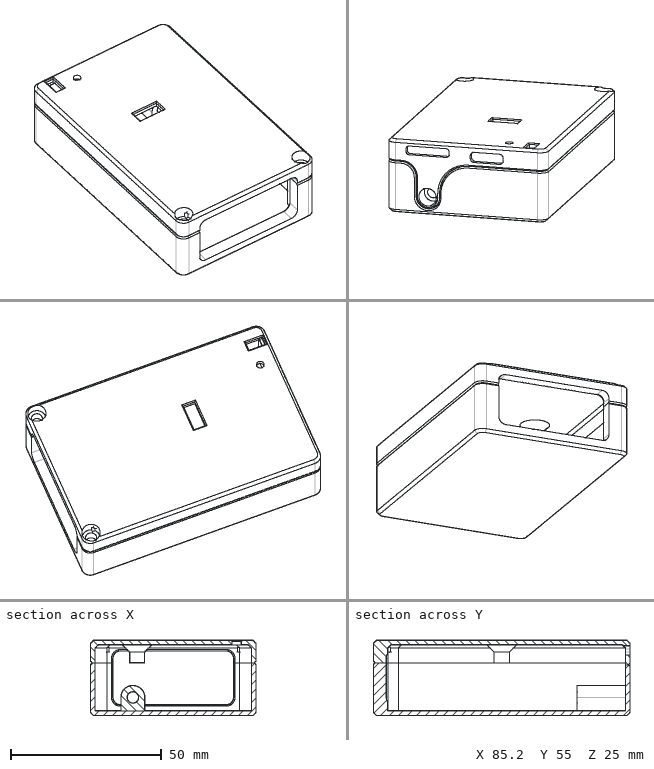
import cadquery as cq
import math

QUARTER_ARC_SAG = 1 - math.sqrt(0.5)

LENGTH = 85.2
WIDTH = 55.0
HEIGHT = 25.0
CORNER_RADIUS = 3.0
RIM_CHAMFER = 1.0
LEFT = -LENGTH / 2
RIGHT = LENGTH / 2

SEAM_Z = 17.5
SEAM_CHAMFER = 0.5
CORNER_ARC_GAP = CORNER_RADIUS * QUARTER_ARC_SAG
TOLERANCE = 1e-3

WALL = 1.6
RIGHT_WALL = 4.8
CEILING_CHAMFER = 1.0
CEILING_Z = HEIGHT - WALL
CAVITY_LEFT = LEFT + WALL
CAVITY_RIGHT = RIGHT - RIGHT_WALL
CAVITY_WIDTH = WIDTH - 2 * WALL

CORNER_BLOCK_LENGTH = 3.5
CORNER_BLOCK_WIDTH = 5.5

SCREW_DIAMETER = 3.7
SCREW_HEAD_DIAMETER = 6.0
CORNER_SCREW_INSET = 3.5
CORNER_HEAD_DEPTH = 4.0
CORNER_SCREW_BOTTOM = 6.0
TONGUE_SCREW_Y = 13.4
TONGUE_SCREW_Z = 6.0
TONGUE_HEAD_DEPTH = 6.5

TONGUE_RADIUS = 4.0
TONGUE_CLEARANCE = 0.1
TONGUE_BLEND_SHORT = 5.0
TONGUE_BLEND_LONG = 10.0

BOSS_LENGTH = 16.0

STUB_X = 0.0
STUB_Y = 12.0
STUB_DIAMETER = 5.0
STUB_FLARE = 2.4
STUB_BOTTOM_Z = SEAM_Z

CARD_SLOT = dict(y=13.4, z=21.6, length=14.8, height=3.0, radius=1.0)
PORT_SLOT = dict(y=-7.0, z=20.8, length=11.4, height=3.5, radius=1.4)
WINDOW_CHAMFER = 0.4
SCREEN_WINDOW = dict(x=-9.05, y=-3.65, length=4.1, width=9.5)
SWITCH_WINDOW = dict(x=-37.95, y=-21.05, length=5.9, width=3.0)
LIGHT_HOLE_X = -36.4
LIGHT_HOLE_Y = -13.0
LIGHT_HOLE_DIAMETER = 2.5

END_WINDOW_WIDTH = 40.0
END_WINDOW_HEIGHT = 17.8
END_WINDOW_RADIUS = 2.5
END_WINDOW_CHAMFER = 0.5


def block(x_min, x_max, width, z_min, z_max, y=0.0):
    """Box between two X and two Z positions, centred on y."""
    corner = cq.Workplane("XY", origin=(x_min, y, z_min))
    return corner.box(x_max - x_min, width, z_max - z_min, centered=(False, True, False))


def cylinder_up(x, y, diameter, z_min, z_max):
    return cq.Workplane("XY", origin=(x, y, z_min)).circle(diameter / 2).extrude(z_max - z_min)


def cylinder_inward(diameter, x_min, length):
    """Cylinder along X on the axis of the tongue screw."""
    axis_start = (x_min, TONGUE_SCREW_Y, TONGUE_SCREW_Z)
    return cq.Workplane("YZ", origin=axis_start).circle(diameter / 2).extrude(length)


def rounded_prism(x_min, x_max, y, z, length, height, radius):
    """Rounded rectangle in the YZ plane, extruded along X."""
    prism = cq.Workplane("YZ", origin=(x_min, y, z)).rect(length, height).extrude(x_max - x_min)
    return prism.edges("|X").fillet(radius)


def case_envelope():
    return (
        cq.Workplane("XY")
        .box(LENGTH, WIDTH, HEIGHT, centered=(True, True, False))
        .edges("|Z").fillet(CORNER_RADIUS)
        .faces("<Z or >Z").edges().chamfer(RIM_CHAMFER)
    )


def tongue(radius):
    """Tongue as thick as the left wall, blended into the seam by two quarter arcs."""
    near = TONGUE_SCREW_Y - radius
    far = TONGUE_SCREW_Y + radius
    long_mid = TONGUE_BLEND_LONG * QUARTER_ARC_SAG
    short_mid = TONGUE_BLEND_SHORT * QUARTER_ARC_SAG
    return (
        cq.Workplane("YZ", origin=(LEFT, 0, 0))
        .moveTo(near - TONGUE_BLEND_LONG, SEAM_Z)
        .threePointArc((near - long_mid, SEAM_Z - long_mid), (near, SEAM_Z - TONGUE_BLEND_LONG))
        .lineTo(near, TONGUE_SCREW_Z)
        .threePointArc((TONGUE_SCREW_Y, TONGUE_SCREW_Z - radius), (far, TONGUE_SCREW_Z))
        .lineTo(far, SEAM_Z - TONGUE_BLEND_SHORT)
        .threePointArc((far + short_mid, SEAM_Z - short_mid), (far + TONGUE_BLEND_SHORT, SEAM_Z))
        .close()
        .extrude(WALL)
    )


def upper_zone(tongue_radius):
    """Everything above the seam together with the tongue."""
    above_seam = block(LEFT, RIGHT, WIDTH, SEAM_Z, HEIGHT)
    return above_seam.union(tongue(tongue_radius))


def is_outer_seam_edge(edge):
    """True for the seam edges on the outside of the case, including the tongue outline."""
    middle = edge.positionAt(0.5)
    surface_gap = min(LENGTH / 2 - abs(middle.x), WIDTH / 2 - abs(middle.y))
    on_level = abs(middle.z - SEAM_Z) < TOLERANCE and surface_gap < CORNER_ARC_GAP + TOLERANCE
    flat_half_width = WIDTH / 2 - CORNER_RADIUS
    on_left_face = abs(middle.x - LEFT) < TOLERANCE and abs(middle.y) < flat_half_width - TOLERANCE
    on_tongue = on_left_face and RIM_CHAMFER + TOLERANCE < middle.z < SEAM_Z
    return on_level or on_tongue


def chamfer_seam(body):
    """Chamfer the outer seam edges; the two bodies together form a V groove."""
    return body.edges().filter(is_outer_seam_edge).chamfer(SEAM_CHAMFER)


def cavity():
    """Inside of the case, leaving a block around each corner screw."""
    inside = block(CAVITY_LEFT, CAVITY_RIGHT, CAVITY_WIDTH, WALL, CEILING_Z)
    block_start = CAVITY_RIGHT - CORNER_BLOCK_LENGTH
    for side in (-1, 1):
        y = side * (WIDTH - CORNER_BLOCK_WIDTH) / 2
        inside = inside.cut(block(block_start, CAVITY_RIGHT, CORNER_BLOCK_WIDTH, 0, HEIGHT, y))
    return inside.faces(">Z").edges().chamfer(CEILING_CHAMFER)


def corner_screw_holes():
    holes = cq.Workplane("XY")
    for side in (-1, 1):
        x = RIGHT - CORNER_SCREW_INSET
        y = side * (WIDTH / 2 - CORNER_SCREW_INSET)
        holes = holes.union(cylinder_up(x, y, SCREW_DIAMETER, CORNER_SCREW_BOTTOM, HEIGHT))
        holes = holes.union(cylinder_up(x, y, SCREW_HEAD_DIAMETER, HEIGHT - CORNER_HEAD_DEPTH, HEIGHT))
    return holes


def tongue_screw_hole():
    hole = cylinder_inward(SCREW_DIAMETER, LEFT, WALL + BOSS_LENGTH)
    return hole.union(cylinder_inward(SCREW_HEAD_DIAMETER, LEFT, TONGUE_HEAD_DEPTH))


def end_window():
    """Window in the right end, chamfered around its inner rim."""
    grow = 2 * END_WINDOW_CHAMFER
    opening = cq.Sketch().rect(END_WINDOW_WIDTH, END_WINDOW_HEIGHT).vertices().fillet(END_WINDOW_RADIUS)
    rim = (
        cq.Sketch()
        .rect(END_WINDOW_WIDTH + grow, END_WINDOW_HEIGHT + grow)
        .vertices().fillet(END_WINDOW_RADIUS + END_WINDOW_CHAMFER)
    )
    inner_face = cq.Workplane("YZ", origin=(CAVITY_RIGHT, 0, HEIGHT / 2))
    through = inner_face.placeSketch(opening).extrude(RIGHT_WALL)
    flare = inner_face.placeSketch(rim, opening.moved(cq.Location((0, 0, END_WINDOW_CHAMFER)))).loft()
    return through.union(flare)


def tongue_boss():
    """Round-topped boss behind the tongue, standing on the base floor."""
    width = 2 * TONGUE_RADIUS
    boss_end = CAVITY_LEFT + BOSS_LENGTH
    foot = block(CAVITY_LEFT, boss_end, width, WALL, TONGUE_SCREW_Z, TONGUE_SCREW_Y)
    return cylinder_inward(width, CAVITY_LEFT, BOSS_LENGTH).union(foot)


def ceiling_stub():
    stub = cylinder_up(STUB_X, STUB_Y, STUB_DIAMETER, STUB_BOTTOM_Z, CEILING_Z)
    flare = (
        cq.Workplane("XY", origin=(STUB_X, STUB_Y, CEILING_Z))
        .circle(STUB_DIAMETER / 2 + STUB_FLARE)
        .workplane(offset=-STUB_FLARE)
        .circle(STUB_DIAMETER / 2)
        .loft()
    )
    return stub.union(flare)


def end_slot(slot):
    """Rounded slot through the left wall and the ceiling chamfer behind it."""
    inner_end = CAVITY_LEFT + CEILING_CHAMFER
    return rounded_prism(LEFT, inner_end, **slot)


def top_window(window):
    """Rectangular window through the top plate with a chamfered upper rim."""
    floor = cq.Workplane("XY", origin=(window["x"], window["y"], CEILING_Z))
    hole = floor.rect(window["length"], window["width"]).extrude(WALL)
    flare = (
        cq.Workplane("XY", origin=(window["x"], window["y"], HEIGHT))
        .rect(window["length"] + 2 * WINDOW_CHAMFER, window["width"] + 2 * WINDOW_CHAMFER)
        .workplane(offset=-WINDOW_CHAMFER)
        .rect(window["length"], window["width"])
        .loft()
    )
    return hole.union(flare)


def make_base():
    body = chamfer_seam(case_envelope().cut(upper_zone(TONGUE_RADIUS + TONGUE_CLEARANCE)))
    return body.cut(cavity()).cut(corner_screw_holes()).cut(end_window())


def make_lid():
    body = chamfer_seam(case_envelope().intersect(upper_zone(TONGUE_RADIUS)))
    body = body.cut(cavity()).union(ceiling_stub()).union(tongue_boss())
    body = body.cut(corner_screw_holes()).cut(tongue_screw_hole()).cut(end_window())
    for slot in (CARD_SLOT, PORT_SLOT):
        body = body.cut(end_slot(slot))
    for window in (SCREEN_WINDOW, SWITCH_WINDOW):
        body = body.cut(top_window(window))
    return body.cut(cylinder_up(LIGHT_HOLE_X, LIGHT_HOLE_Y, LIGHT_HOLE_DIAMETER, CEILING_Z, HEIGHT))


base = make_base()
lid = make_lid()
result = cq.Compound.makeCompound([base.val(), lid.val()])